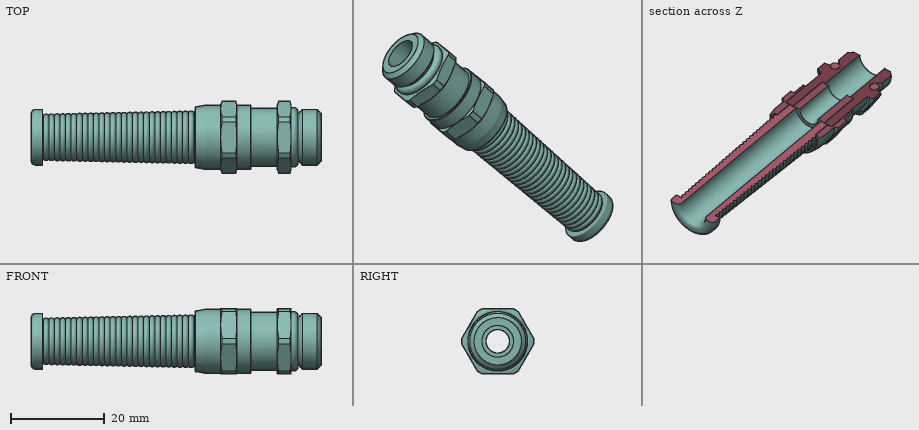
import cadquery as cq
import math

TOTAL_LENGTH = 62.2

SLEEVE_BORE_DIA = 6.7
RIM_DIA = 12.0
RIM_LENGTH = 2.5
RIM_OUTER_ROUND = 1.0
RIM_INNER_ROUND = 1.05
RIM_BACK_ROUND = 0.1
COIL_COUNT = 28
COILS_LENGTH = 33.45
COIL_HEIGHT = 0.4
COILS_START = 2.6
FIRST_COIL_DIA = 10.0
LAST_COIL_DIA = 11.4
SLEEVE_TAIL_LENGTH = 4.35

HEX_ACROSS_FLATS = 14.0
HEX_CORNER_DIA = 15.5
HEX_CHAMFER_DIA = 13.7
HEX_START_CHAMFER = 0.4
HEX_END_CHAMFER = 0.25

NUT_START = 35.1
NUT_NOSE_END = 37.3
NUT_HEX_START = 40.55
NUT_HEX_END = 44.1
NUT_END = 47.15
NUT_NOSE_CHAMFER = 0.2
NUT_END_CHAMFER = 0.1
NUT_DIA = 13.8
NUT_NOSE_DIA = 13.05
NUT_MOUTH_DIA = 11.9

BODY_DIA = 12.5
BODY_HEX_START = 52.7
BODY_HEX_END = 55.7
NECK_DIA = 8.8
THREAD_DIA = 12.0
THREAD_START = 58.15
THREAD_CHAMFER = 0.95
EXIT_BORE_DIA = 6.8

RING_DIA = 12.8
RING_CENTER = 56.2

SEAL_BORE_DIA = 5.0
SEAL_DIA = 8.4
SEAL_LENGTH = 9.95

coil_pitch = COILS_LENGTH / COIL_COUNT
coils_end = COILS_START + COILS_LENGTH
sleeve_end = coils_end + SLEEVE_TAIL_LENGTH
seal_end = sleeve_end + SEAL_LENGTH
tail_radius = LAST_COIL_DIA / 2 - COIL_HEIGHT


def turn(outline):
    """Revolve an outline of (X, radius) points about the X axis."""
    return outline.close().revolve(360, (0, 0, 0), (1, 0, 0))


def cylinder(start, end, diameter):
    """Solid cylinder on the X axis between two X positions."""
    return cq.Workplane("YZ", origin=(start, 0, 0)).circle(diameter / 2).extrude(end - start)


def hexagon(start, end):
    """Hexagon with flats facing +Z and -Z, round corners and chamfered ends."""
    corner_to_corner = HEX_ACROSS_FLATS / math.cos(math.pi / 6)
    prism = (
        cq.Workplane("YZ", origin=(start, 0, 0))
        .polygon(6, corner_to_corner)
        .extrude(end - start)
    )
    envelope = turn(
        cq.Workplane("XY")
        .moveTo(start, 0)
        .lineTo(start, HEX_CHAMFER_DIA / 2)
        .lineTo(start + HEX_START_CHAMFER, HEX_CORNER_DIA / 2)
        .lineTo(end - HEX_END_CHAMFER, HEX_CORNER_DIA / 2)
        .lineTo(end, HEX_CHAMFER_DIA / 2)
        .lineTo(end, 0)
    )
    return prism.intersect(envelope)


def make_sleeve():
    """Sleeve with a rounded rim, tapering rounded coils and a plain tail held in the cap nut."""
    bore_radius = SLEEVE_BORE_DIA / 2
    rim_radius = RIM_DIA / 2
    crest_step = (LAST_COIL_DIA - FIRST_COIL_DIA) / 2 / (COIL_COUNT - 1)
    first_root = FIRST_COIL_DIA / 2 - COIL_HEIGHT

    outline = (
        cq.Workplane("XY")
        .moveTo(RIM_INNER_ROUND, bore_radius)
        .radiusArc((0, bore_radius + RIM_INNER_ROUND), RIM_INNER_ROUND)
        .lineTo(0, rim_radius - RIM_OUTER_ROUND)
        .radiusArc((RIM_OUTER_ROUND, rim_radius), RIM_OUTER_ROUND)
        .lineTo(RIM_LENGTH - RIM_BACK_ROUND, rim_radius)
        .radiusArc((RIM_LENGTH, rim_radius - RIM_BACK_ROUND), RIM_BACK_ROUND)
        .lineTo(RIM_LENGTH, first_root)
        .lineTo(COILS_START, first_root)
    )
    for coil in range(COIL_COUNT):
        crest_x = COILS_START + (coil + 0.5) * coil_pitch
        root = first_root + coil * crest_step
        outline = outline.threePointArc(
            (crest_x, root + COIL_HEIGHT),
            (crest_x + coil_pitch / 2, min(root + crest_step, tail_radius)),
        )
    outline = outline.lineTo(sleeve_end, tail_radius).lineTo(sleeve_end, bore_radius)
    return turn(outline)


def make_cap_nut():
    """Tapered nose, hexagon and plain collar, hollow for the sleeve and the gland body."""
    nut_radius = NUT_DIA / 2
    turned = turn(
        cq.Workplane("XY")
        .moveTo(NUT_START, 0)
        .lineTo(NUT_START, NUT_NOSE_DIA / 2 - NUT_NOSE_CHAMFER)
        .lineTo(NUT_START + NUT_NOSE_CHAMFER, NUT_NOSE_DIA / 2)
        .lineTo(NUT_NOSE_END, nut_radius)
        .lineTo(NUT_END - NUT_END_CHAMFER, nut_radius)
        .lineTo(NUT_END, nut_radius - NUT_END_CHAMFER)
        .lineTo(NUT_END, 0)
    )
    nut = turned.union(hexagon(NUT_HEX_START, NUT_HEX_END))
    nut = nut.cut(cylinder(NUT_START, coils_end, NUT_MOUTH_DIA))
    nut = nut.cut(cylinder(coils_end, sleeve_end, 2 * tail_radius))
    return nut.cut(cylinder(sleeve_end, NUT_END, BODY_DIA))


def make_gland_body():
    """Barrel, hexagon, undercut neck and chamfered threaded end, bored from end to end."""
    body_radius = BODY_DIA / 2
    thread_radius = THREAD_DIA / 2
    neck_radius = NECK_DIA / 2
    neck_end = THREAD_START - (thread_radius - neck_radius)
    turned = turn(
        cq.Workplane("XY")
        .moveTo(sleeve_end, 0)
        .lineTo(sleeve_end, body_radius)
        .lineTo(BODY_HEX_END, body_radius)
        .lineTo(BODY_HEX_END, neck_radius)
        .lineTo(neck_end, neck_radius)
        .lineTo(THREAD_START, thread_radius)
        .lineTo(TOTAL_LENGTH - THREAD_CHAMFER, thread_radius)
        .lineTo(TOTAL_LENGTH, thread_radius - THREAD_CHAMFER)
        .lineTo(TOTAL_LENGTH, 0)
    )
    body = turned.union(hexagon(BODY_HEX_START, BODY_HEX_END))
    body = body.cut(cylinder(sleeve_end, seal_end, SEAL_DIA))
    body = body.cut(cylinder(seal_end, TOTAL_LENGTH, EXIT_BORE_DIA))
    return body.cut(make_o_ring())


def make_o_ring():
    """Ring of round cord resting on the neck of the gland body."""
    neck_radius = NECK_DIA / 2
    cord_radius = (RING_DIA / 2 - neck_radius) / 2
    ring_radius = neck_radius + cord_radius
    return (
        cq.Workplane("XY")
        .center(RING_CENTER, ring_radius)
        .circle(cord_radius)
        .revolve(360, (0, -ring_radius, 0), (1, -ring_radius, 0))
    )


def make_seal():
    """Plain sealing bush pressed into the gland body against the sleeve end."""
    return cylinder(sleeve_end, seal_end, SEAL_DIA).cut(cylinder(sleeve_end, seal_end, SEAL_BORE_DIA))


sleeve = make_sleeve()
cap_nut = make_cap_nut()
gland_body = make_gland_body()
o_ring = make_o_ring()
seal = make_seal()

result = cq.Compound.makeCompound(
    [sleeve.val(), cap_nut.val(), gland_body.val(), o_ring.val(), seal.val()]
)